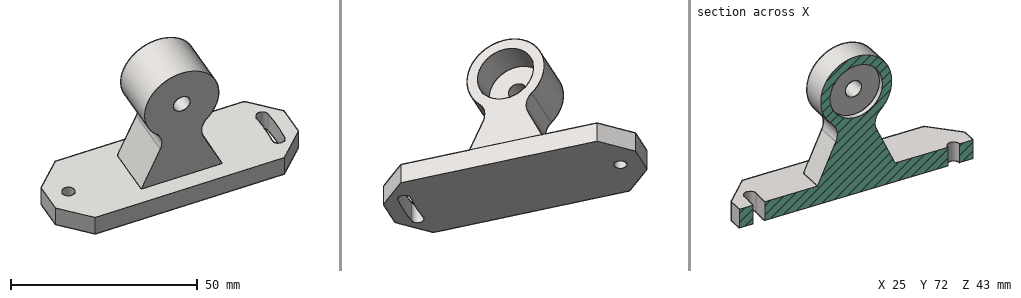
import cadquery as cq
import math

plate_width = 25.0
plate_length = 72.0
plate_thickness = 6.0
corner_chamfer = 8.0

mount_hole_diameter = 3.5
mount_hole_inset = 6.0
slot_width = mount_hole_diameter
slot_travel = 10.0

total_height = 43.0
barrel_diameter = 22.0
barrel_length = 15.0
barrel_axis_z = total_height - barrel_diameter / 2
foot_width = 24.0
neck_fillet = 5.0

bore_diameter = 16.0
bore_depth = 9.0
through_hole_diameter = 5.0

pivot_y = mount_hole_inset - plate_length / 2


def make_plate():
    return (
        cq.Workplane("XY")
        .rect(plate_width, plate_length)
        .extrude(plate_thickness)
        .edges("|Z")
        .chamfer(corner_chamfer)
    )


def make_bracket():
    """Barrel on a wedge whose flanks meet at the barrel axis, with rounded necks."""
    side_plane = cq.Workplane("YZ", origin=(-barrel_length / 2, 0, 0))
    barrel = (
        side_plane.center(0, barrel_axis_z)
        .circle(barrel_diameter / 2)
        .extrude(barrel_length)
    )
    wedge = (
        side_plane.moveTo(-foot_width / 2, plate_thickness)
        .lineTo(foot_width / 2, plate_thickness)
        .lineTo(0, barrel_axis_z)
        .close()
        .extrude(barrel_length)
    )
    neck_reach = barrel_diameter / 2
    neck_zone = cq.selectors.BoxSelector(
        (-barrel_length, -neck_reach, plate_thickness),
        (barrel_length, neck_reach, barrel_axis_z - neck_reach / 2),
    )
    return barrel.union(wedge).edges("|X").edges(neck_zone).fillet(neck_fillet)


def make_stepped_bore():
    axis_plane = cq.Workplane("YZ", origin=(-barrel_length / 2, 0, barrel_axis_z))
    bore = axis_plane.circle(bore_diameter / 2).extrude(bore_depth)
    through_hole = axis_plane.circle(through_hole_diameter / 2).extrude(barrel_length)
    return bore.union(through_hole)


def make_mount_hole():
    return (
        cq.Workplane("XY", origin=(0, pivot_y, 0))
        .circle(mount_hole_diameter / 2)
        .extrude(plate_thickness)
    )


def make_arc_slot():
    """Slot with round ends that follows an arc centred on the mounting hole."""
    swing_radius = plate_length - 2 * mount_hole_inset
    inner_radius = swing_radius - slot_width / 2
    outer_radius = swing_radius + slot_width / 2
    half_angle = math.asin(slot_travel / 2 / swing_radius)

    def polar(radius, angle):
        return (radius * math.sin(angle), radius * math.cos(angle))

    end_angle = half_angle + slot_width / 2 / swing_radius
    return (
        cq.Workplane("XY", origin=(0, pivot_y, 0))
        .moveTo(*polar(outer_radius, -half_angle))
        .threePointArc(polar(outer_radius, 0), polar(outer_radius, half_angle))
        .threePointArc(polar(swing_radius, end_angle), polar(inner_radius, half_angle))
        .threePointArc(polar(inner_radius, 0), polar(inner_radius, -half_angle))
        .threePointArc(polar(swing_radius, -end_angle), polar(outer_radius, -half_angle))
        .close()
        .extrude(plate_thickness)
    )


result = (
    make_plate()
    .union(make_bracket())
    .cut(make_stepped_bore())
    .cut(make_mount_hole())
    .cut(make_arc_slot())
)